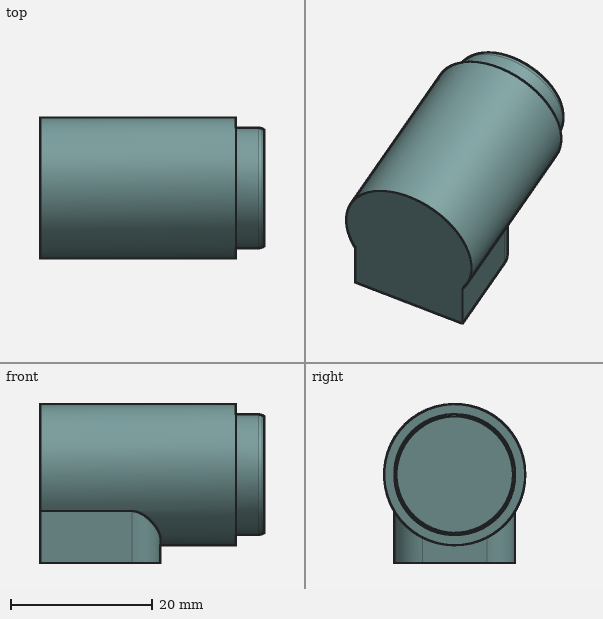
import cadquery as cq

total_length = 31.7
body_diameter = 20.0
body_length = 27.68
spigot_diameter = 17.12
total_height = 22.5
foot_width = 17.12
foot_length = 17.0
foot_corner_radius = 4.0
shallow_bevel_length = 0.5
shallow_bevel_depth = 0.13
steep_bevel_length = 0.32
steep_bevel_depth = 0.2

body_radius = body_diameter / 2
spigot_radius = spigot_diameter / 2
foot_height = total_height - body_radius


def make_barrel():
    """Cylinder along X stepping down to a spigot whose tip narrows in two bevels."""
    steep_bevel_start = total_length - steep_bevel_length
    shallow_bevel_start = steep_bevel_start - shallow_bevel_length
    bevel_meeting_radius = spigot_radius - shallow_bevel_depth
    tip_radius = bevel_meeting_radius - steep_bevel_depth
    half_profile = (
        cq.Workplane("XY")
        .moveTo(0, 0)
        .lineTo(0, body_radius)
        .lineTo(body_length, body_radius)
        .lineTo(body_length, spigot_radius)
        .lineTo(shallow_bevel_start, spigot_radius)
        .lineTo(steep_bevel_start, bevel_meeting_radius)
        .lineTo(total_length, tip_radius)
        .lineTo(total_length, 0)
        .close()
    )
    return half_profile.revolve(360, (0, 0, 0), (1, 0, 0))


def make_foot():
    """Block from the barrel axis downwards, with its two inner corners rounded."""
    block = cq.Workplane("XY").rect(foot_length, foot_width).extrude(-foot_height)
    block = block.edges("|Z and >X").fillet(foot_corner_radius)
    return block.translate((foot_length / 2, 0, 0))


result = make_barrel().union(make_foot())